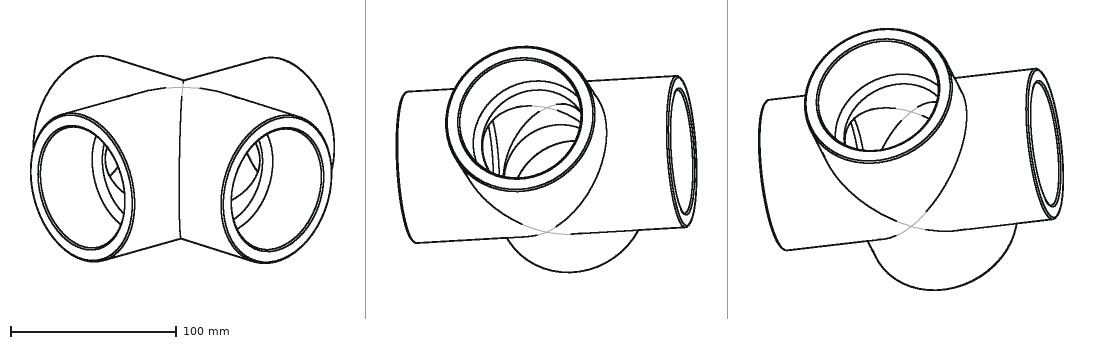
import cadquery as cq

length = 168.0
outer_diameter = 92.0
bore_diameter = 66.2

socket_diameter = 75.0
socket_depth = 44.0
taper_length = 4.4
mouth_chamfer = 1.0
rim_chamfer = 1.0

half_length = length / 2
outer_radius = outer_diameter / 2
bore_radius = bore_diameter / 2
socket_radius = socket_diameter / 2
mouth_radius = socket_radius + mouth_chamfer
socket_end = half_length - socket_depth
taper_end = socket_end - taper_length


def revolve_about_x(profile):
    """Turn a closed (axial, radial) profile around the X axis."""
    return cq.Workplane("XY").polyline(profile).close().revolve(360, (0, 0, 0), (1, 0, 0))


def pipe_body():
    """Solid cylinder along X with a chamfered rim at both ends."""
    return (
        cq.Workplane("YZ")
        .circle(outer_radius)
        .extrude(half_length, both=True)
        .faces("<X or >X")
        .edges()
        .chamfer(rim_chamfer)
    )


def socket_cavity():
    """Bore along X, tapering out to a socket with a flared mouth at each end."""
    half_profile = [
        (taper_end, bore_radius),
        (socket_end, socket_radius),
        (half_length - mouth_chamfer, socket_radius),
        (half_length, mouth_radius),
        (half_length, 0),
    ]
    mirrored_profile = [(-axial, radial) for axial, radial in reversed(half_profile)]
    return revolve_about_x(half_profile + mirrored_profile)


def cross(branch):
    """Join a branch along X with its copy along Y."""
    return branch.union(branch.rotate((0, 0, 0), (0, 0, 1), 90))


result = cross(pipe_body()).cut(cross(socket_cavity()))